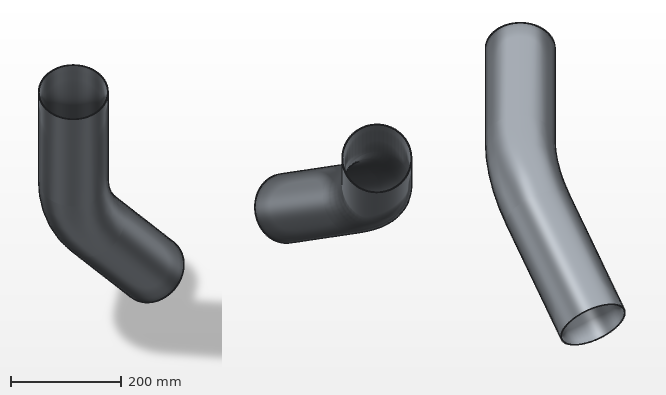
import cadquery as cq
import math

outer_diameter = 127.0
inner_diameter = 123.8
leg_length = 2 * outer_diameter
bend_radius = 2.5 * outer_diameter
bend_angle = 30.0


def bend_point(angle):
    """Centreline point (Y, Z) of the bend, turned by angle from the upper leg."""
    turn = math.radians(angle)
    return (bend_radius * (1 - math.cos(turn)), -bend_radius * math.sin(turn))


def centreline():
    """Vertical upper leg, circular bend towards +Y, then the sloping lower leg."""
    slope = math.radians(bend_angle)
    bend_end_y, bend_end_z = bend_point(bend_angle)
    lower_end = (
        bend_end_y + leg_length * math.sin(slope),
        bend_end_z - leg_length * math.cos(slope),
    )
    return (
        cq.Workplane("YZ")
        .moveTo(0, leg_length)
        .lineTo(0, 0)
        .threePointArc(bend_point(bend_angle / 2), (bend_end_y, bend_end_z))
        .lineTo(*lower_end)
    )


result = (
    cq.Workplane("XY", origin=(0, 0, leg_length))
    .circle(outer_diameter / 2)
    .circle(inner_diameter / 2)
    .sweep(centreline())
)